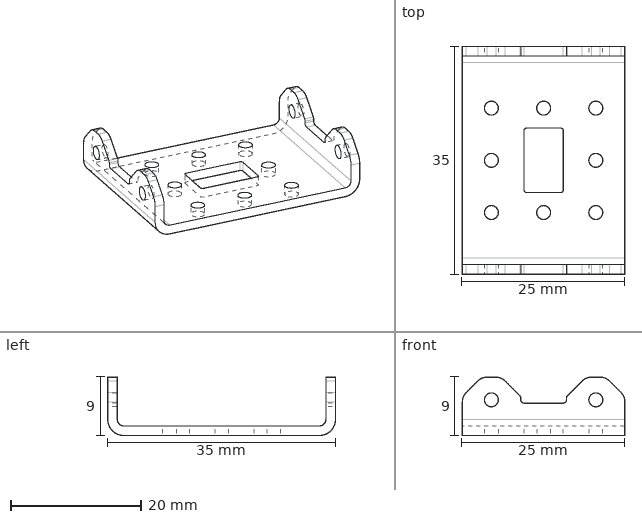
import cadquery as cq

width = 25.0
length = 35.0
height = 9.0
thickness = 1.5
bend_radius = 2.5
inner_bend_radius = bend_radius - thickness

hole_diameter = 2.1
hole_pitch = 8.0
lug_hole_height = 5.5

window_width = 6.0
window_length = 9.87
window_corner_radius = 0.35

lug_flat_half_width = 1.5
lug_corner_radius = 2.0
notch_half_width = 3.5
notch_floor = 5.0
notch_corner_radius = 0.5


def make_channel():
    """Bent sheet: a base with two upright walls at the Y ends."""
    outer = (
        cq.Workplane("XY")
        .box(width, length, height, centered=(True, True, False))
        .edges("|X and <Z")
        .fillet(bend_radius)
    )
    inner = (
        cq.Workplane("XY")
        .workplane(offset=thickness)
        .box(width, length - 2 * thickness, height, centered=(True, True, False))
        .edges("|X and <Z")
        .fillet(inner_bend_radius)
    )
    return outer.cut(inner)


def make_wall_envelope():
    """Prism along Y with the outline that both walls are trimmed to."""
    lug_inner = hole_pitch - lug_flat_half_width
    lug_outer = hole_pitch + lug_flat_half_width
    outer_shoulder = height - (width / 2 - lug_outer)
    inner_shoulder = height - (lug_inner - notch_half_width)
    right_half = [
        (width / 2, 0),
        (width / 2, outer_shoulder),
        (lug_outer, height),
        (lug_inner, height),
        (notch_half_width, inner_shoulder),
        (notch_half_width, notch_floor),
    ]
    left_half = [(-x, z) for x, z in reversed(right_half)]
    envelope = (
        cq.Workplane("XZ")
        .polyline(right_half + left_half)
        .close()
        .extrude(length / 2, both=True)
    )

    def round_corners(body, corners, radius):
        points = [(side * x, 0, z) for x, z in corners for side in (-1, 1)]
        for point in points:
            nearest = cq.selectors.NearestToPointSelector(point)
            body = body.edges("|Y").edges(nearest).fillet(radius)
        return body

    envelope = round_corners(envelope, right_half[1:4], lug_corner_radius)
    return round_corners(envelope, right_half[4:], notch_corner_radius)


def make_lug_holes():
    return (
        cq.Workplane("XZ")
        .pushPoints([(side * hole_pitch, lug_hole_height) for side in (-1, 1)])
        .circle(hole_diameter / 2)
        .extrude(length, both=True)
    )


def make_base_openings():
    """Central window surrounded by a ring of eight holes on a square grid."""
    steps = (-1, 0, 1)
    positions = [(i * hole_pitch, j * hole_pitch) for i in steps for j in steps if (i, j) != (0, 0)]
    holes = cq.Workplane("XY").pushPoints(positions).circle(hole_diameter / 2).extrude(thickness)
    window = (
        cq.Workplane("XY")
        .box(window_width, window_length, thickness, centered=(True, True, False))
        .edges("|Z")
        .fillet(window_corner_radius)
    )
    return holes.add(window).combine()


result = (
    make_channel()
    .intersect(make_wall_envelope())
    .cut(make_lug_holes())
    .cut(make_base_openings())
)